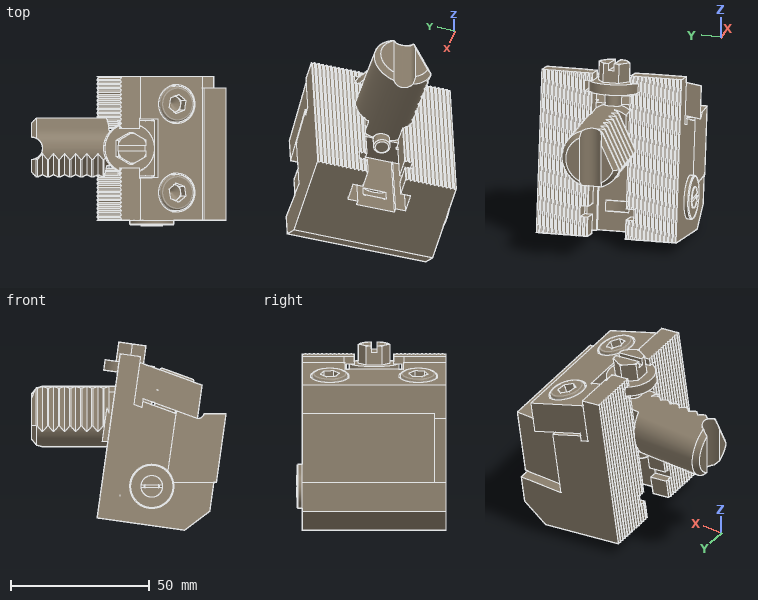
import cadquery as cq
import math

LEAN_ANGLE = 8
SLOPE_ANGLE = 12
LEVEL_RISE = math.tan(math.radians(LEAN_ANGLE))
CLAMP_FALL = math.tan(math.radians(SLOPE_ANGLE))
FAR = 140.75

WIDTH = 52.0
FRONT_Y = -WIDTH / 2
FACE_TOP = 22.9
FACE_BOTTOM = -37.0
HOUSING_DEPTH = 39.9
CORNER_DEPTH = 31.8
CORNER_HEIGHT = -28.9
WALL_DEPTH = 7.4

TOOTH_PITCH = 1.5
TOOTH_DEPTH = 0.55
TOOTH_CREST = 0.35
CREST_DEPTH = -0.15

LIP_THICKNESS = 7.0
SLOT_WIDTH = 14.15
T_SLOT_WIDTH = 21.6
T_SLOT_DEPTH = 13.9
RELIEF_DEPTH = 15.4
NOTCH_HEIGHT = 4.0
NOTCH_CUTTER_DIAMETER = 20.0
NOTCH_CUTTER_DEPTH = 6.4
UPPER_NOTCH = 18.1
LOWER_NOTCH = -27.95

CLAMP_TOP = 20.75
CLAMP_DEPTH = 30.8
CLAMP_POCKET_WIDTH = 21.1
CLAMP_POCKET_DEPTH = 14.3
HOOK_DEPTH = 10.4
HOOK_BOTTOM = 5.4
UNDERSIDE_HEIGHT = 7.95
CLAMP_GAP = 1.0

INSERT_LEFT = 22.9
INSERT_RIGHT = 40.8
INSERT_TOP = 6.8
INSERT_BOTTOM = -20.8
INSERT_LENGTH = 47.85
INSERT_GROOVE_WIDTH = 2.1
INSERT_GROOVE_SAG = 0.35

CLAMP_SCREW_Y = 16.0
CLAMP_SCREW_DEPTH = 21.25
CLAMP_SCREW_DIAMETER = 8.0
CLAMP_SCREW_LENGTH = 20.0
CLEARANCE_DIAMETER = 9.0
HEAD_DIAMETER = 13.0
HEAD_HEIGHT = 8.0
HEAD_FILLET = 0.8
HEAD_STANDOUT = 0.85
COUNTERBORE_DIAMETER = 14.0
HEX_SOCKET_FLATS = 6.0
HEX_SOCKET_DEPTH = 5.0
HEX_SOCKET_TURN = 9
DRILL_HALF_ANGLE = 60

SHANK_RADIUS = 11.0
SHANK_END = -29.0
SHANK_CHAMFER = 1.9
SHANK_GAP = 2.1
NECK_WIDTH = 12.75
CHANNEL_DIAMETER = 8.0
RACK_PITCH = 4.0
RACK_TEETH = 7
RACK_CREST_RADIUS = 7.95
RACK_VALLEY_RADIUS = 6.3
RACK_CREST_WIDTH = 0.5
RACK_TILT = 25
NUT_WIDTH = 20.0
NUT_BACK = 13.7

ADJUSTER_DEPTH = 3.8
ADJUSTER_TOP = 27.0
ADJUSTER_TIP = -15.1
ADJUSTER_DIAMETER = 6.0
ADJUSTER_CHAMFER = 0.55
COLLAR_DIAMETER = 18.0
COLLAR_THICKNESS = 3.9
HEX_FLATS = 10.0
HEX_BEVEL_DIAMETER = 10.7
HEX_BEVEL_ANGLE = 30
DRIVE_SLOT_WIDTH = 2.0
DRIVE_SLOT_DEPTH = 2.5

DISC_DEPTH = 17.9
DISC_HEIGHT = -22.95
DISC_DIAMETER = 16.0
DISC_THICKNESS = 1.75
DISC_CHAMFER = 0.35
DISC_SCREW_HEAD = 7.8
DISC_SCREW_DIAMETER = 5.0
DISC_SCREW_STANDOUT = 0.3
DISC_SCREW_LENGTH = 11.95
DISC_SLOT_WIDTH = 1.0
DISC_SLOT_DEPTH = 1.35


def lean(shape):
    return shape.rotate((0, 0, 0), (0, 1, 0), LEAN_ANGLE)


def block(x_range, width, z_range):
    """Box centred on y = 0."""
    length = x_range[1] - x_range[0]
    height = z_range[1] - z_range[0]
    box = cq.Workplane("XY").box(length, width, height, centered=(False, True, False))
    return box.translate((x_range[0], 0, z_range[0]))


def side_prism(outline, y_start=FRONT_Y, length=WIDTH):
    """Extrude an outline drawn in XZ toward +Y."""
    return outline.close().extrude(-length).translate((0, y_start, 0))


def underside(depth):
    """Height of the clamp underside."""
    return UNDERSIDE_HEIGHT - (depth - HOOK_DEPTH) * CLAMP_FALL


def clamp_top(depth):
    return CLAMP_TOP - (depth - WALL_DEPTH) * CLAMP_FALL


def hook_bottom(depth):
    return HOOK_BOTTOM - (depth - WALL_DEPTH) * CLAMP_FALL


def insert_floor(depth):
    return INSERT_BOTTOM + (depth - INSERT_LEFT) * LEVEL_RISE


def insert_top(depth):
    return INSERT_TOP + (depth - INSERT_RIGHT) * LEVEL_RISE



def place_clamp_screw(shape, y):
    """Move a shape built round Z, with z = 0 on the clamp top, to a screw position."""
    tilted = shape.rotate((0, 0, 0), (0, 1, 0), SLOPE_ANGLE)
    return tilted.translate((CLAMP_SCREW_DEPTH, y, clamp_top(CLAMP_SCREW_DEPTH)))


def upright_cylinder(diameter, top, height):
    return cq.Workplane("XY").workplane(offset=top - height).circle(diameter / 2).extrude(height)


def clamp_screw_shaft():
    head_base = HEAD_STANDOUT - HEAD_HEIGHT
    return upright_cylinder(CLAMP_SCREW_DIAMETER, head_base, CLAMP_SCREW_LENGTH)


def make_clamp_screw(side):
    """Screw on the side of the given sign; the two sockets are turned as mirror images."""
    head = upright_cylinder(HEAD_DIAMETER, HEAD_STANDOUT, HEAD_HEIGHT).faces(">Z").edges().fillet(HEAD_FILLET)
    socket_floor = HEAD_STANDOUT - HEX_SOCKET_DEPTH
    hex_corners = HEX_SOCKET_FLATS / math.cos(math.pi / 6)
    socket = cq.Workplane("XY").workplane(offset=socket_floor).polygon(6, hex_corners).extrude(HEX_SOCKET_DEPTH)
    socket = socket.rotate((0, 0, 0), (0, 0, 1), 90 - side * HEX_SOCKET_TURN)
    drill_radius = HEX_SOCKET_FLATS / 2
    drill_height = drill_radius / math.tan(math.radians(DRILL_HALF_ANGLE))
    drill_point = cq.Workplane(cq.Solid.makeCone(0, drill_radius, drill_height))
    drill_point = drill_point.translate((0, 0, socket_floor - drill_height))
    screw = head.union(clamp_screw_shaft()).cut(socket).cut(drill_point)
    return lean(place_clamp_screw(screw, side * CLAMP_SCREW_Y))



def make_clamp():
    clamp = side_prism(
        cq.Workplane("XZ")
        .moveTo(WALL_DEPTH, clamp_top(WALL_DEPTH))
        .lineTo(CLAMP_DEPTH, clamp_top(CLAMP_DEPTH))
        .lineTo(CLAMP_DEPTH, underside(CLAMP_DEPTH))
        .lineTo(HOOK_DEPTH, underside(HOOK_DEPTH))
        .lineTo(HOOK_DEPTH, hook_bottom(HOOK_DEPTH))
        .lineTo(WALL_DEPTH, hook_bottom(WALL_DEPTH))
    )
    clamp = clamp.cut(block((0, CLAMP_POCKET_DEPTH), CLAMP_POCKET_WIDTH, (0, FAR)))
    for y in (-CLAMP_SCREW_Y, CLAMP_SCREW_Y):
        bore_depth = HEAD_HEIGHT - HEAD_STANDOUT
        counterbore = upright_cylinder(COUNTERBORE_DIAMETER, bore_depth, 2 * bore_depth)
        clearance = upright_cylinder(CLEARANCE_DIAMETER, 0, FAR)
        clamp = clamp.cut(place_clamp_screw(counterbore.union(clearance), y))
    return lean(clamp)



def make_insert():
    groove_end = CLAMP_DEPTH + INSERT_GROOVE_WIDTH
    groove_middle = (
        CLAMP_DEPTH + INSERT_GROOVE_WIDTH / 2 + INSERT_GROOVE_SAG,
        (underside(CLAMP_DEPTH) + insert_top(groove_end)) / 2 - INSERT_GROOVE_SAG,
    )
    insert = side_prism(
        cq.Workplane("XZ")
        .moveTo(INSERT_LEFT, insert_floor(INSERT_LEFT))
        .lineTo(INSERT_RIGHT, insert_floor(INSERT_RIGHT))
        .lineTo(INSERT_RIGHT, insert_top(INSERT_RIGHT))
        .lineTo(groove_end, insert_top(groove_end))
        .threePointArc(groove_middle, (CLAMP_DEPTH, underside(CLAMP_DEPTH)))
        .lineTo(INSERT_LEFT, underside(INSERT_LEFT)),
        length=INSERT_LENGTH,
    )
    return lean(insert)



def housing_blank():
    return side_prism(
        cq.Workplane("XZ")
        .moveTo(CREST_DEPTH, FACE_BOTTOM)
        .lineTo(CORNER_DEPTH, FACE_BOTTOM)
        .lineTo(HOUSING_DEPTH, CORNER_HEIGHT)
        .lineTo(HOUSING_DEPTH, insert_floor(HOUSING_DEPTH))
        .lineTo(INSERT_LEFT, insert_floor(INSERT_LEFT))
        .lineTo(INSERT_LEFT, underside(INSERT_LEFT) - CLAMP_GAP)
        .lineTo(HOOK_DEPTH, underside(HOOK_DEPTH) - CLAMP_GAP)
        .lineTo(HOOK_DEPTH, hook_bottom(HOOK_DEPTH))
        .lineTo(WALL_DEPTH, hook_bottom(WALL_DEPTH))
        .lineTo(WALL_DEPTH, FACE_TOP)
        .lineTo(CREST_DEPTH, FACE_TOP)
    )


def serration_grooves():
    """V-grooves up the face, one every pitch either side of the middle."""
    half_mouth = (TOOTH_PITCH - TOOTH_CREST) / 2
    valley_depth = CREST_DEPTH + TOOTH_DEPTH
    reach = int(WIDTH / 2 / TOOTH_PITCH)
    grooves = []
    for index in range(-reach, reach + 1):
        y = index * TOOTH_PITCH
        if abs(y) + half_mouth > SLOT_WIDTH / 2:
            v_shape = [(CREST_DEPTH, y - half_mouth), (valley_depth, y), (CREST_DEPTH, y + half_mouth)]
            plane = cq.Workplane("XY").workplane(offset=FACE_BOTTOM)
            grooves.append(plane.polyline(v_shape).close().extrude(FACE_TOP - FACE_BOTTOM).val())
    return cq.Compound.makeCompound(grooves)


def collar_notch(height):
    """Round-ended notch through both lips, milled in from the face."""
    half_height = NOTCH_HEIGHT / 2
    x_range = (-NOTCH_CUTTER_DEPTH, NOTCH_CUTTER_DEPTH)
    straight = block(x_range, NOTCH_CUTTER_DIAMETER, (-half_height, half_height))
    round_end = upright_cylinder(NOTCH_CUTTER_DIAMETER, half_height, NOTCH_HEIGHT)
    round_end = round_end.translate((NOTCH_CUTTER_DEPTH, 0, 0))
    return straight.union(round_end).translate((0, 0, height))


def make_housing():
    housing = housing_blank().cut(cq.Workplane(serration_grooves()))
    housing = housing.cut(block((-FAR, RELIEF_DEPTH), SLOT_WIDTH, (-FAR, FAR)))
    housing = housing.cut(block((LIP_THICKNESS, T_SLOT_DEPTH), T_SLOT_WIDTH, (-FAR, FAR)))
    for height in (UPPER_NOTCH, LOWER_NOTCH):
        housing = housing.cut(collar_notch(height))
    for y in (-CLAMP_SCREW_Y, CLAMP_SCREW_Y):
        housing = housing.cut(place_clamp_screw(clamp_screw_shaft(), y))
    housing = housing.cut(place_disc(disc_screw_shaft()))
    return lean(housing)



def rack_cutter():
    """Everything beyond the rack profile, ending square at the last valley."""
    flank = (RACK_PITCH - RACK_CREST_WIDTH) / 2
    profile = [(SHANK_END, FAR), (SHANK_END, RACK_VALLEY_RADIUS)]
    for index in range(RACK_TEETH):
        valley = SHANK_END + index * RACK_PITCH
        profile.append((valley + flank, RACK_CREST_RADIUS))
        profile.append((valley + flank + RACK_CREST_WIDTH, RACK_CREST_RADIUS))
        profile.append((valley + RACK_PITCH, RACK_VALLEY_RADIUS))
    profile.append((SHANK_END + RACK_TEETH * RACK_PITCH, FAR))
    cutter = cq.Workplane("XY").polyline(profile).close().extrude(FAR, both=True)
    return cutter.rotate((0, 0, 0), (1, 0, 0), 180 - RACK_TILT)


def make_shank():
    rod = cq.Workplane("YZ").workplane(offset=SHANK_END).circle(SHANK_RADIUS).extrude(FAR)
    rod = rod.faces("<X").chamfer(SHANK_CHAMFER)
    channel = upright_cylinder(CHANNEL_DIAMETER, FAR / 2, FAR).translate((SHANK_END, 0, 0))
    barrel = rod.intersect(lean(block((-FAR, -SHANK_GAP), FAR, (-FAR, FAR))))
    neck = rod.intersect(lean(block((-SHANK_GAP, LIP_THICKNESS), NECK_WIDTH, (-FAR, FAR))))
    toothed_rod = barrel.union(neck).cut(channel).cut(rack_cutter())
    stem = lean(block((ADJUSTER_DEPTH, LIP_THICKNESS), NECK_WIDTH, (-FAR, FAR)))
    nut = lean(block((LIP_THICKNESS, NUT_BACK), NUT_WIDTH, (-FAR, FAR)))
    level_slab = block((-FAR, FAR), FAR, (-SHANK_RADIUS, SHANK_RADIUS))
    t_head = stem.union(nut).intersect(level_slab)
    return toothed_rod.union(t_head).cut(lean(adjuster_shaft()))



def adjuster_shaft():
    length = UPPER_NOTCH - ADJUSTER_TIP
    shaft = upright_cylinder(ADJUSTER_DIAMETER, UPPER_NOTCH, length)
    return shaft.faces("<Z").chamfer(ADJUSTER_CHAMFER).translate((ADJUSTER_DEPTH, 0, 0))


def make_adjuster():
    hex_corners = HEX_FLATS / math.cos(math.pi / 6)
    head = cq.Workplane("XY").workplane(offset=UPPER_NOTCH).polygon(6, hex_corners)
    head = head.extrude(ADJUSTER_TOP - UPPER_NOTCH).rotate((0, 0, 0), (0, 0, 1), 90)
    bevel_slope = math.tan(math.radians(HEX_BEVEL_ANGLE))
    top_radius = HEX_BEVEL_DIAMETER / 2
    bevel = cq.Workplane(cq.Solid.makeCone(top_radius + FAR, top_radius, FAR * bevel_slope))
    head = head.intersect(bevel.translate((0, 0, ADJUSTER_TOP - FAR * bevel_slope)))
    head = head.cut(block((-FAR, FAR), DRIVE_SLOT_WIDTH, (ADJUSTER_TOP - DRIVE_SLOT_DEPTH, FAR)))
    collar = upright_cylinder(COLLAR_DIAMETER, UPPER_NOTCH + COLLAR_THICKNESS / 2, COLLAR_THICKNESS)
    top = head.union(collar).translate((ADJUSTER_DEPTH, 0, 0))
    return lean(top.union(adjuster_shaft()))



def place_disc(shape):
    """Move a shape built round Z, with z = 0 on the housing side, so that +Z points to -Y."""
    turned = shape.rotate((0, 0, 0), (1, 0, 0), 90)
    return turned.translate((DISC_DEPTH, FRONT_Y, DISC_HEIGHT))


def disc_screw_shaft():
    return upright_cylinder(DISC_SCREW_DIAMETER, DISC_THICKNESS, DISC_SCREW_LENGTH)


def disc_screw_countersink():
    """45-degree cone under the screw head, its wide end flush with the disc."""
    height = (DISC_SCREW_HEAD - DISC_SCREW_DIAMETER) / 2
    cone = cq.Workplane(cq.Solid.makeCone(DISC_SCREW_DIAMETER / 2, DISC_SCREW_HEAD / 2, height))
    return cone.translate((0, 0, DISC_THICKNESS - height))


def make_disc():
    disc = upright_cylinder(DISC_DIAMETER, DISC_THICKNESS, DISC_THICKNESS)
    disc = disc.faces(">Z").chamfer(DISC_CHAMFER)
    disc = disc.cut(disc_screw_shaft()).cut(disc_screw_countersink())
    return lean(place_disc(disc))


def make_disc_screw():
    top = DISC_THICKNESS + DISC_SCREW_STANDOUT
    head = upright_cylinder(DISC_SCREW_HEAD, top, DISC_SCREW_STANDOUT)
    screw = head.union(disc_screw_countersink()).union(disc_screw_shaft())
    slot = block((-FAR, FAR), DISC_SLOT_WIDTH, (top - DISC_SLOT_DEPTH, top))
    slot = slot.rotate((0, 0, 0), (0, 0, 1), LEAN_ANGLE)
    return lean(place_disc(screw.cut(slot)))


housing = make_housing()
clamp = make_clamp()
insert = make_insert()
shank = make_shank()
adjuster = make_adjuster()
disc = make_disc()
disc_screw = make_disc_screw()
clamp_screws = [make_clamp_screw(side) for side in (-1, 1)]

bodies = [housing, clamp, insert, shank, adjuster, disc, disc_screw, *clamp_screws]
result = cq.Compound.makeCompound([body.solids().val() for body in bodies])